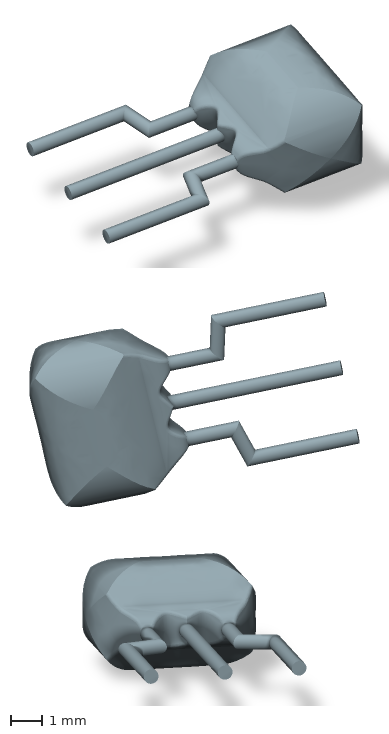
import cadquery as cq


length = 9.89
body_width = 5.5
body_thickness = 3.5
half_width = body_width / 2
half_thickness = body_thickness / 2
rim_radius = 0.12
end_margin = 0.99
rim_gap = 0.01

back_flat_half = 0.99
back_corner = (2.2, 9.52)
widest_y = 8.06
flank = (2.38, 6.58)
foot_y = 5.32
foot_inner_x = 1.15
foot_outer_x = 1.54
scallop_crest = (0.61, 5.78)
centre_y = 5.48

tip_half = 0.24
tip_shoulder = (5.5, 0.45)
neck = (6.15, 0.75)
neck_direction = (4, 3)
front_shoulder = (7.05, 1.5)
thickest_y = 7.87
back_shoulder = (9.45, 1.27)

lead_radius = 0.24
lead_inner_x = 1.33
lead_outer_x = 2.41
upper_bend_y = 3.77
lower_bend_y = 3.48
lead_embed = 0.59
lead_root_y = foot_y + lead_embed


def plan_prism():
    """Plan outline, mirrored about x = 0, with scallops between the three leads."""
    return (
        cq.Workplane("XY")
        .workplane(offset=-body_thickness)
        .moveTo(0, length)
        .lineTo(back_flat_half, length)
        .spline([back_corner, (half_width, widest_y)], tangents=[(1, 0), (0, -1)], includeCurrent=True)
        .spline([flank, (foot_outer_x, foot_y)], tangents=[(0, -1), (-2, -3)], includeCurrent=True)
        .lineTo(foot_inner_x, foot_y)
        .spline([scallop_crest, (0, centre_y)], tangents=[(-1, 1), (-2, -1)], includeCurrent=True)
        .mirrorY()
        .extrude(2 * body_thickness)
    )


def side_prism():
    """Side outline, mirrored about z = 0, bulging at the back and necking down to the leads."""
    return (
        cq.Workplane("YZ")
        .workplane(offset=-body_width)
        .moveTo(foot_y, 0)
        .lineTo(foot_y, tip_half)
        .spline([tip_shoulder, neck], tangents=[(1, 2), neck_direction], includeCurrent=True)
        .spline(
            [front_shoulder, (thickest_y, half_thickness)],
            tangents=[neck_direction, (1, 0)],
            includeCurrent=True,
        )
        .spline([back_shoulder, (length, 0)], tangents=[(1, 0), (0, -1)], includeCurrent=True)
        .mirrorX()
        .extrude(2 * body_width)
    )


def end_prism():
    """Stadium outline across the width and thickness."""
    return (
        cq.Workplane("XZ", origin=(0, length + end_margin, 0))
        .slot2D(body_width, body_thickness)
        .extrude(length)
    )


def body():
    """Common volume of the three prisms, with the rims around the lead feet rounded."""
    pillow = plan_prism().intersect(side_prism()).intersect(end_prism())
    foot_rims = None
    for face in (-1, 1):
        for side in (-1, 1):
            rim = cq.selectors.BoxSelector(
                (side * rim_gap, foot_y + rim_gap, face * (tip_half + rim_gap)),
                (side * half_width, flank[1], face * half_thickness),
            )
            foot_rims = rim if foot_rims is None else foot_rims + rim
    return pillow.edges("not %LINE").edges(foot_rims).fillet(rim_radius)


def straight_lead():
    """Centre lead, running straight into the body."""
    return cq.Workplane("XZ").circle(lead_radius).extrude(-lead_root_y)


def cranked_lead(side):
    """Lead with a mitred crank outward; side is -1 or 1."""
    path = cq.Workplane("XY").polyline([
        (side * lead_outer_x, 0),
        (side * lead_outer_x, lower_bend_y),
        (side * lead_inner_x, upper_bend_y),
        (side * lead_inner_x, lead_root_y),
    ])
    section = cq.Workplane("XZ", origin=(side * lead_outer_x, 0, 0)).circle(lead_radius)
    return section.sweep(path, transition="right")


result = body().union(straight_lead())
for side in (-1, 1):
    result = result.union(cranked_lead(side))